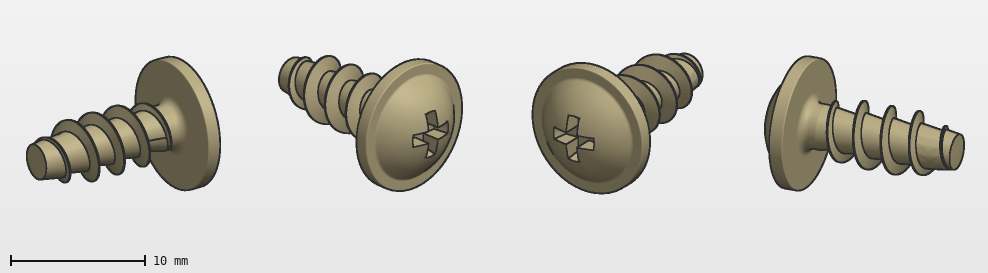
import cadquery as cq
import math


flange_radius = 5.0
flange_thickness = 1.1
flange_edge_fillet = 0.09
dome_base_radius = 4.07
dome_height = 2.06
dome_toe_fillet = 0.18
head_height = flange_thickness + dome_height

recess_arm_width = 0.97
recess_mouth_radius = 1.83
recess_mouth_y = head_height - 0.35
recess_depth = 1.6
recess_end_draft = 8.0

shank_length = 12.0
neck_radius = 1.716
neck_fillet = 0.67
neck_end_y = -1.22
core_radius = 1.39
run_in_cone_end_y = -2.55
tip_radius = 1.35
tip_bulge = 0.03
tip_bulge_radius = 1.25
tip_face_y = tip_bulge - shank_length
tip_cone_slope = 0.157

pitch = 2.237
crest_radius = 2.5
crest_half_width = 0.05
flank_slope = math.tan(math.radians(16.7))
fin_base_radius = 1.2
crest_y_at_plus_x = -1.365
fin_start_y = -1.0
fin_end_y = -11.7
full_crest_start_y = -3.5
full_crest_end_y = -8.63
run_in_slope = 0.24
run_out_slope = 0.356

root_wide_radius = 1.65
root_narrow_radius = core_radius + 0.01
root_inner_radius = 1.3
root_overlap = 0.04
root_gap = 0.02
root_end_y = -shank_length - pitch

AXIS_START = (0, 0, 0)
AXIS_END = (0, 1, 0)

SECTIONS_PER_TURN = 2
SPANS_PER_SECTION = 6


def make_flange():
    flange = cq.Workplane("XZ").circle(flange_radius).extrude(-flange_thickness)
    return flange.edges().fillet(flange_edge_fillet)


def make_head_and_core():
    dome_sphere_radius = (dome_base_radius**2 + dome_height**2) / (2 * dome_height)
    mid_radius = dome_base_radius / 2
    sphere_drop = dome_sphere_radius - math.sqrt(dome_sphere_radius**2 - mid_radius**2)
    tip_cone_height = (core_radius - tip_radius) / tip_cone_slope
    fillet_outer_radius = neck_radius + neck_fillet
    fillet_mid_inset = neck_fillet * (1 - math.sqrt(0.5))

    body = (
        cq.Workplane("XY")
        .moveTo(0, -shank_length)
        .lineTo(tip_bulge_radius, tip_face_y)
        .lineTo(tip_radius, tip_face_y)
        .lineTo(core_radius, tip_face_y + tip_cone_height)
        .lineTo(core_radius, run_in_cone_end_y)
        .lineTo(neck_radius, neck_end_y)
        .lineTo(neck_radius, -neck_fillet)
        .threePointArc((neck_radius + fillet_mid_inset, -fillet_mid_inset), (fillet_outer_radius, 0))
        .lineTo(dome_base_radius, 0)
        .lineTo(dome_base_radius, flange_thickness)
        .threePointArc((mid_radius, head_height - sphere_drop), (0, head_height))
        .close()
        .revolve(360, AXIS_START, AXIS_END)
    )
    return body.union(make_flange()).faces("%SPHERE").edges("<Y").fillet(dome_toe_fillet)


def make_recess():
    floor_y = head_height - recess_depth
    draft = math.tan(math.radians(recess_end_draft))
    top_radius = recess_mouth_radius + (head_height - recess_mouth_y) * draft
    floor_radius = recess_mouth_radius - (recess_mouth_y - floor_y) * draft
    end_cone = (
        cq.Workplane("XY")
        .moveTo(0, floor_y)
        .lineTo(floor_radius, floor_y)
        .lineTo(top_radius, head_height)
        .lineTo(0, head_height)
        .close()
        .revolve(360, AXIS_START, AXIS_END)
    )
    arm_length = 2 * top_radius
    middle = (0, head_height - recess_depth / 2, 0)
    arm_x = cq.Workplane("XY").box(arm_length, recess_depth, recess_arm_width).translate(middle)
    arm_z = cq.Workplane("XY").box(recess_arm_width, recess_depth, arm_length).translate(middle)
    return arm_x.union(arm_z).intersect(end_cone)


def helical_bar(profile, start_y, end_y):
    """Solid swept down the screw helix; profile(y) lists its (radius, offset along Y) corners."""
    corner_count = len(profile(start_y))
    section_count = math.ceil(SECTIONS_PER_TURN * (start_y - end_y) / pitch)
    section_length = (start_y - end_y) / section_count

    def corner_point(corner, y):
        radius, offset = profile(y)[corner]
        angle = 2 * math.pi * (crest_y_at_plus_x - y) / pitch
        return cq.Vector(radius * math.cos(angle), y + offset, radius * math.sin(angle))

    faces = []
    fractions = [i / SPANS_PER_SECTION for i in range(SPANS_PER_SECTION + 1)]
    for section in range(section_count):
        levels = [start_y - section_length * (section + f) for f in fractions]
        rails = [
            cq.Edge.makeSpline([corner_point(corner, y) for y in levels], parameters=fractions)
            for corner in range(corner_count)
        ]
        faces += [cq.Face.makeRuledSurface(rails[i - 1], rails[i]) for i in range(corner_count)]
    for y in (start_y, end_y):
        corners = [corner_point(corner, y) for corner in range(corner_count)]
        faces.append(cq.Face.makeFromWires(cq.Wire.makePolygon(corners, close=True)))
    return cq.Workplane(cq.Solid.makeSolid(cq.Shell.makeShell(faces)))


def crest_radius_at(y):
    """Crest radius, growing along the run-in and shrinking along the run-out."""
    run_in_loss = max(0, y - full_crest_start_y) * run_in_slope
    run_out_loss = max(0, full_crest_end_y - y) * run_out_slope
    return crest_radius - run_in_loss - run_out_loss


def fin_half_width(y, radius):
    return crest_half_width + max(0, crest_radius_at(y) - radius) * flank_slope


def fin_profile(y):
    crest = crest_radius_at(y)
    base_half_width = fin_half_width(y, fin_base_radius)
    return [
        (fin_base_radius, base_half_width),
        (crest, crest_half_width),
        (crest, -crest_half_width),
        (fin_base_radius, -base_half_width),
    ]


def root_profile(y):
    """Root wedge between two turns, with its ends buried in the fin above and the fin below."""
    upper_offset = fin_half_width(y, root_narrow_radius) - root_overlap
    wide_offset = root_overlap - fin_half_width(y, root_wide_radius)
    lower_offset = fin_half_width(y - pitch, root_narrow_radius) - root_overlap - pitch + root_gap
    return [
        (root_inner_radius, upper_offset),
        (root_narrow_radius, upper_offset),
        (root_wide_radius, wide_offset),
        (root_narrow_radius, lower_offset),
        (root_inner_radius, lower_offset),
    ]


def make_root():
    """Sloping root trimmed to the cone of the tip."""
    root = helical_bar(root_profile, crest_y_at_plus_x, root_end_y)
    cone_height = (neck_radius - tip_radius) / tip_cone_slope
    envelope = (
        cq.Workplane("XY")
        .moveTo(0, tip_face_y)
        .lineTo(tip_radius, tip_face_y)
        .lineTo(neck_radius, tip_face_y + cone_height)
        .lineTo(neck_radius, neck_end_y)
        .lineTo(0, neck_end_y)
        .close()
        .revolve(360, AXIS_START, AXIS_END)
    )
    return root.intersect(envelope)


def make_fin():
    """Thread fin cut off flat at the end of the neck."""
    fin = helical_bar(fin_profile, fin_start_y, fin_end_y)
    size = 2 * flange_radius
    above_neck_end = cq.Workplane("XY").box(size, size, size).translate((0, neck_end_y + size / 2, 0))
    return fin.cut(above_neck_end)


head_and_core = make_head_and_core().cut(make_recess())
result = head_and_core.union(make_root()).union(make_fin())